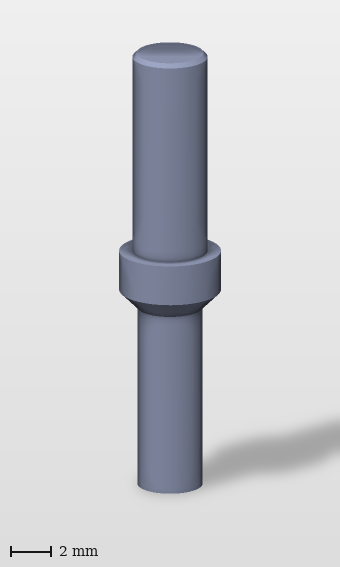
import cadquery as cq

total_length = 22.25
lower_diameter = 3.2
upper_diameter = 3.7
collar_diameter = 5.0
collar_top = 12.04
collar_height = 2.0
taper_height = (collar_diameter - lower_diameter) / 2
tip_chamfer = 0.2

collar_bottom = collar_top - collar_height
taper_bottom = collar_bottom - taper_height
lower_radius = lower_diameter / 2
upper_radius = upper_diameter / 2
collar_radius = collar_diameter / 2

profile = (
    cq.Workplane("XZ")
    .moveTo(0, 0)
    .lineTo(lower_radius, 0)
    .lineTo(lower_radius, taper_bottom)
    .lineTo(collar_radius, collar_bottom)
    .lineTo(collar_radius, collar_top)
    .lineTo(upper_radius, collar_top)
    .lineTo(upper_radius, total_length - tip_chamfer)
    .lineTo(upper_radius - tip_chamfer, total_length)
    .lineTo(0, total_length)
    .close()
)

result = profile.revolve(360, (0, 0, 0), (0, 1, 0))